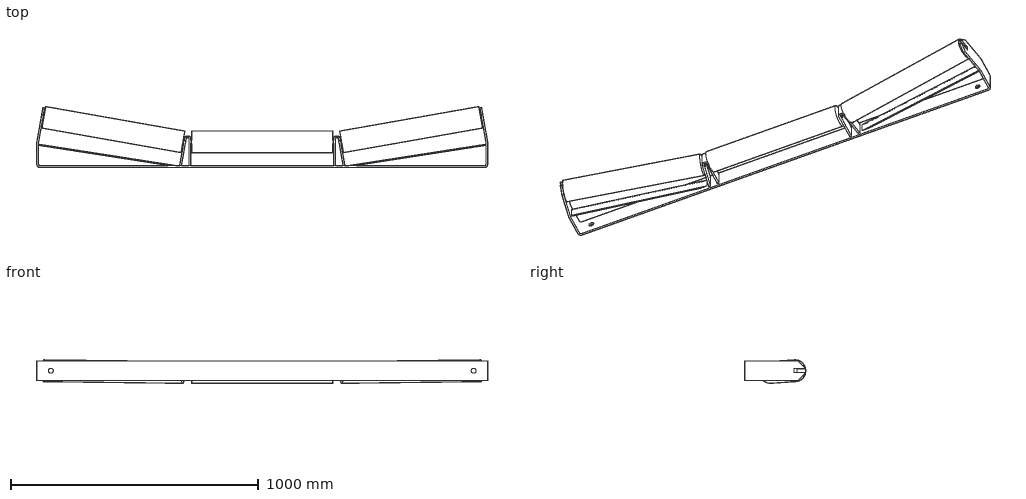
import cadquery as cq
import math


FRAME_LENGTH = 1820.0
BAR_WIDTH = 80.0
PLATE_THICKNESS = 8.0
BEND_RADIUS = 14.0
LEG_BEND_HEIGHT = 104.0
LEG_TIP_HEIGHT = 243.0
TIP_CHAMFER = 28.0
MOUNTING_HOLE_DIAMETER = 20.0
MOUNTING_HOLE_SPACING = 1706.0

TROUGH_ANGLE = 10.0
ROLLER_DIAMETER = 89.0
ROLLER_LENGTH = 570.0
ROLLER_TOP_HEIGHT = 247.16
INNER_END_OFFSET = -6.8
SHAFT_WIDTH = 16.0
SHAFT_HEIGHT = 14.0
END_GAP = 3.0

BRACKET_WIDTH = 60.0
BRACKET_HEIGHT = 128.0
BRACKET_BEND_RADIUS = 10.0

BRACE_WIDTH = 40.0
BRACE_THICKNESS = 5.0
BRACE_OUTER_HEIGHT = 95.0
BRACE_INNER_X = -342.0

tilt = math.radians(TROUGH_ANGLE)
roller_radius = ROLLER_DIAMETER / 2
half_length = FRAME_LENGTH / 2
shaft_overhang = END_GAP + PLATE_THICKNESS

wing_drop = ROLLER_LENGTH * math.sin(tilt)
outer_axis_height = ROLLER_TOP_HEIGHT - roller_radius * math.cos(tilt)
inner_axis_height = outer_axis_height - wing_drop
leg_face_x = -half_length + (outer_axis_height - LEG_BEND_HEIGHT) * math.tan(tilt)
outer_axis_x = leg_face_x + shaft_overhang / math.cos(tilt)
inner_axis_x = outer_axis_x + ROLLER_LENGTH * math.cos(tilt)

wing_outer_end = cq.Vector(outer_axis_x, outer_axis_height, 0)
wing_direction = cq.Vector(
    math.cos(tilt), -math.sin(tilt), INNER_END_OFFSET / ROLLER_LENGTH
).normalized()
level_outer_end = cq.Vector(-ROLLER_LENGTH / 2, inner_axis_height, INNER_END_OFFSET)
level_direction = cq.Vector(1, 0, 0)


def mirrored(body):
    return body.mirror("YZ")


def axis_plane(end, direction):
    """Plane at a roller end: local X is across the frame (Z), local Y points up."""
    return cq.Plane(origin=end, xDir=cq.Vector(0, 1, 0).cross(direction), normal=direction)


def shaft(plane):
    """Flatted shaft that runs through a roller and into the plates at both ends."""
    return (
        cq.Workplane(plane)
        .workplane(offset=-shaft_overhang)
        .rect(SHAFT_WIDTH, SHAFT_HEIGHT)
        .extrude(ROLLER_LENGTH + 2 * shaft_overhang)
    )


def roller(plane):
    barrel = cq.Workplane(plane).circle(roller_radius).extrude(ROLLER_LENGTH)
    return barrel.union(shaft(plane))


wing_plane = axis_plane(wing_outer_end, wing_direction)
level_plane = axis_plane(level_outer_end, level_direction)


def bar_profile(points, width):
    """Closed XY outline extruded into a bar of the given width, centred on Z = 0."""
    return cq.Workplane("XY").polyline(points).close().extrude(width / 2, both=True)


def build_frame():
    inner_x = half_length - PLATE_THICKNESS
    inner_bend_height = LEG_BEND_HEIGHT - PLATE_THICKNESS * math.tan(tilt / 2)
    tip_shift = (LEG_TIP_HEIGHT - LEG_BEND_HEIGHT) * math.tan(tilt)
    outer_tip = (-half_length + tip_shift, LEG_TIP_HEIGHT)
    inner_tip = (
        outer_tip[0] + PLATE_THICKNESS * math.cos(tilt),
        outer_tip[1] - PLATE_THICKNESS * math.sin(tilt),
    )
    left_outside = [outer_tip, (-half_length, LEG_BEND_HEIGHT), (-half_length, 0)]
    left_inside = [(-inner_x, PLATE_THICKNESS), (-inner_x, inner_bend_height), inner_tip]
    right_outside = [(-x, y) for x, y in reversed(left_outside)]
    right_inside = [(-x, y) for x, y in reversed(left_inside)]
    frame = bar_profile(left_outside + right_outside + right_inside + left_inside, BAR_WIDTH)

    for x, y, radius in (
        (half_length, 0, BEND_RADIUS),
        (inner_x, PLATE_THICKNESS, BEND_RADIUS - PLATE_THICKNESS),
    ):
        for side in (-1, 1):
            corner = cq.selectors.NearestToPointSelector((side * x, y, 0))
            frame = frame.edges("|Z").edges(corner).fillet(radius)

    half_width = BAR_WIDTH / 2
    for side in (-1, 1):
        corner_cut = (
            cq.Workplane("YZ")
            .polyline([
                (LEG_TIP_HEIGHT, side * half_width),
                (LEG_TIP_HEIGHT - TIP_CHAMFER, side * half_width),
                (LEG_TIP_HEIGHT, side * (half_width - TIP_CHAMFER)),
            ])
            .close()
            .extrude(half_length, both=True)
        )
        frame = frame.cut(corner_cut)

    slot = (
        cq.Workplane(wing_plane)
        .center(0, (ROLLER_DIAMETER - SHAFT_HEIGHT) / 2)
        .rect(SHAFT_WIDTH, ROLLER_DIAMETER)
        .extrude(-2 * shaft_overhang)
    )
    holes = (
        cq.Workplane("XZ")
        .rarray(MOUNTING_HOLE_SPACING, 1, 2, 1)
        .circle(MOUNTING_HOLE_DIAMETER / 2)
        .extrude(-PLATE_THICKNESS)
    )
    return frame.cut(slot).cut(mirrored(slot)).cut(holes)


def build_bracket():
    """Inverted U: each leg is square to the roller that it carries."""
    level_x = -ROLLER_LENGTH / 2 - END_GAP
    wing_x = inner_axis_x + END_GAP * math.cos(tilt)
    wing_y = inner_axis_height - END_GAP * math.sin(tilt)

    def wing_face(y, depth):
        """Point at height y, this depth into the tilted leg from its face to the wing roller."""
        return (wing_x + depth / math.cos(tilt) + (y - wing_y) * math.tan(tilt), y)

    web_bottom = BRACKET_HEIGHT - PLATE_THICKNESS
    bracket = bar_profile(
        [
            wing_face(PLATE_THICKNESS, 0),
            wing_face(BRACKET_HEIGHT, 0),
            (level_x, BRACKET_HEIGHT),
            (level_x, PLATE_THICKNESS),
            (level_x - PLATE_THICKNESS, PLATE_THICKNESS),
            (level_x - PLATE_THICKNESS, web_bottom),
            wing_face(web_bottom, PLATE_THICKNESS),
            wing_face(PLATE_THICKNESS, PLATE_THICKNESS),
        ],
        BRACKET_WIDTH,
    )
    for point in (wing_face(BRACKET_HEIGHT, 0), (level_x, BRACKET_HEIGHT)):
        corner = cq.selectors.NearestToPointSelector((*point, 0))
        bracket = bracket.edges("|Z").edges(corner).fillet(BRACKET_BEND_RADIUS)
    return bracket.cut(shaft(wing_plane)).cut(shaft(level_plane))


def build_brace():
    """Flat strip from the outer leg down to the base of the frame, cut to lie flush on both."""
    leg_x = -half_length + PLATE_THICKNESS
    slope = math.atan2(BRACE_OUTER_HEIGHT - PLATE_THICKNESS, BRACE_INNER_X - leg_x)
    return bar_profile(
        [
            (leg_x, BRACE_OUTER_HEIGHT),
            (BRACE_INNER_X, PLATE_THICKNESS),
            (BRACE_INNER_X - BRACE_THICKNESS / math.sin(slope), PLATE_THICKNESS),
            (leg_x, BRACE_OUTER_HEIGHT - BRACE_THICKNESS / math.cos(slope)),
        ],
        BRACE_WIDTH,
    )


frame = build_frame()
level_roller = roller(level_plane)
wing_roller = roller(wing_plane)
bracket = build_bracket()
brace = build_brace()

bodies = [frame.val(), level_roller.val()]
for left_body in (wing_roller, bracket, brace):
    bodies += [left_body.val(), mirrored(left_body).val()]

result = cq.Compound.makeCompound(bodies)